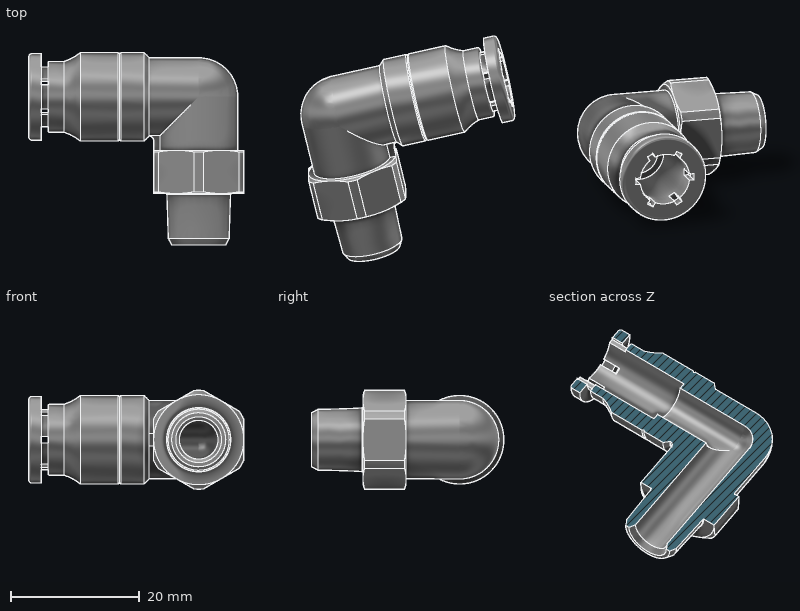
import cadquery as cq
import math


elbow_radius = 6.1
flow_radius = 3.0

port_face_x = -26.4
flange_length = 1.95
flange_radius = 13.5 / 2
flange_fillet = 0.5
neck_length = 1.05
neck_radius = 9.4 / 2
collar_length = 2.5
collar_radius = 11.04 / 2
collar_fillet = 0.25
flare_length = 2.55
flare_sag = 0.13
body_radius = 13.8 / 2
body_end_x = -8.5
body_chamfer = body_radius - elbow_radius
groove_x = -12.3
groove_width = 0.4
groove_depth = 0.2

socket_radius = 8.0 / 2
socket_end_x = groove_x
slot_count = 6
slot_width = 1.0
slot_length = flange_length + neck_length

thread_end_y = body_radius - 29.9
hex_flats = 14.0
hex_round_diameter = 15.39
hex_start_y = -8.3
hex_end_y = -15.0
hex_chamfer = 0.25
shoulder_radius = 5.0
shoulder_length = 0.15
thread_root_radius = 4.96
thread_taper = 1 / 16
thread_chamfer_length = 1.04
thread_tip_radius = 4.2
mouth_radius = 3.55
mouth_depth = 1.0

rib_width = 2.0
rib_fillet = 0.7

collar_start_x = port_face_x + flange_length + neck_length
flare_start_x = collar_start_x + collar_length
flare_end_x = flare_start_x + flare_length


def cylinder_x(radius, start_x, end_x):
    """Cylinder on the X axis running from start_x up to end_x."""
    return cq.Workplane("YZ").workplane(offset=start_x).circle(radius).extrude(end_x - start_x)


def cylinder_y(radius, start_y, end_y):
    """Cylinder on the Y axis running from start_y down to end_y."""
    return cq.Workplane("XZ").workplane(offset=-start_y).circle(radius).extrude(start_y - end_y)


def make_corner_ball(radius):
    """Quarter ball that rounds the outer corner, where X and Y are both positive."""
    return (
        cq.Workplane("YZ")
        .moveTo(0, -radius)
        .threePointArc((radius, 0), (0, radius))
        .close()
        .revolve(90, (0, 1, 0), (0, 0, 0))
    )


def make_bend(radius, arm_x_end, arm_y_end):
    """Two arms that meet in a mitre on the inside and in a quarter ball on the outside."""
    arm_x = cylinder_x(radius, arm_x_end, 0)
    arm_y = cylinder_y(radius, 0, arm_y_end)
    return arm_x.union(arm_y).union(make_corner_ball(radius))


def make_release_collar():
    """Flange pressed to release the tube, with the neck that joins it to the body."""
    flange = cylinder_x(flange_radius, port_face_x, port_face_x + flange_length)
    flange = flange.faces("<X").edges().fillet(flange_fillet)
    neck = cylinder_x(neck_radius, port_face_x + flange_length, flare_start_x)
    return flange.union(neck)


def make_port_body():
    """Turned body of the tube port: front collar, concave flare, groove and rear chamfer."""
    rise = body_radius - collar_radius
    chord = math.hypot(flare_length, rise)
    flare_middle = (
        flare_start_x + flare_length / 2 + flare_sag * rise / chord,
        (collar_radius + body_radius) / 2 - flare_sag * flare_length / chord,
    )
    half_groove = groove_width / 2
    body = (
        cq.Workplane("XY")
        .moveTo(collar_start_x, 0)
        .lineTo(collar_start_x, collar_radius)
        .lineTo(flare_start_x, collar_radius)
        .threePointArc(flare_middle, (flare_end_x, body_radius))
        .lineTo(groove_x - half_groove, body_radius)
        .lineTo(groove_x, body_radius - groove_depth)
        .lineTo(groove_x + half_groove, body_radius)
        .lineTo(body_end_x, body_radius)
        .lineTo(body_end_x + body_chamfer, elbow_radius)
        .lineTo(body_end_x + body_chamfer, 0)
        .close()
        .revolve(360, (0, 0, 0), (1, 0, 0))
    )
    return body.faces("<X").edges().fillet(collar_fillet)


def make_hex():
    """Hexagon with flats facing +X and -X, its corners turned and chamfered at both ends."""
    height = hex_start_y - hex_end_y
    corner_diameter = hex_flats / math.cos(math.radians(30))
    prism = (
        cq.Workplane("XZ", origin=(0, hex_start_y, 0))
        .transformed(rotate=(0, 0, 30))
        .polygon(6, corner_diameter)
        .extrude(height)
    )
    turned = cylinder_y(hex_round_diameter / 2, hex_start_y, hex_end_y)
    radial_chamfer = (hex_round_diameter - hex_flats) / 2
    turned = turned.faces("<Y").chamfer(hex_chamfer, radial_chamfer)
    turned = turned.faces(">Y").chamfer(hex_chamfer, radial_chamfer)
    return prism.intersect(turned)


def make_thread():
    """Tapered thread envelope with a thin shoulder against the hexagon and a chamfered tip."""
    shoulder_y = hex_end_y - shoulder_length
    chamfer_y = thread_end_y + thread_chamfer_length
    small_radius = thread_root_radius - thread_taper / 2 * (shoulder_y - chamfer_y)
    return (
        cq.Workplane("XY")
        .moveTo(0, hex_end_y)
        .lineTo(shoulder_radius, hex_end_y)
        .lineTo(shoulder_radius, shoulder_y)
        .lineTo(thread_root_radius, shoulder_y)
        .lineTo(small_radius, chamfer_y)
        .lineTo(thread_tip_radius, thread_end_y)
        .lineTo(0, thread_end_y)
        .close()
        .revolve(360, (0, 0, 0), (0, 1, 0))
    )


def make_rib():
    """Web beside the threaded arm, filleted into the underside of the tube arm."""
    rib_x = -hex_flats / 2
    return (
        cq.Workplane("XY")
        .moveTo(0, 0)
        .lineTo(rib_x - rib_fillet, 0)
        .lineTo(rib_x - rib_fillet, -elbow_radius)
        .radiusArc((rib_x, -elbow_radius - rib_fillet), rib_fillet)
        .lineTo(rib_x, hex_start_y)
        .lineTo(0, hex_start_y)
        .close()
        .extrude(rib_width / 2, both=True)
    )


def make_flow_passage():
    """Bore through both arms, with the tube socket and the coned mouth of the threaded end."""
    bend = make_bend(flow_radius, socket_end_x, thread_end_y)
    socket = cylinder_x(socket_radius, port_face_x, socket_end_x)
    mouth = (
        cq.Workplane("XY")
        .moveTo(0, thread_end_y)
        .lineTo(mouth_radius, thread_end_y)
        .lineTo(flow_radius, thread_end_y + mouth_depth)
        .lineTo(0, thread_end_y + mouth_depth)
        .close()
        .revolve(360, (0, 0, 0), (0, 1, 0))
    )
    return bend.union(socket).union(mouth)


def make_slots():
    """Radial slots, the first pointing along +Y, that end on the neck's outer radius."""
    slots = cq.Workplane("XY")
    for index in range(slot_count):
        slot = (
            cq.Workplane("XY")
            .box(slot_length, neck_radius, slot_width, centered=(False, False, True))
            .translate((port_face_x, 0, 0))
            .rotate((0, 0, 0), (1, 0, 0), index * 360 / slot_count)
        )
        slots = slots.union(slot)
    return slots


outside = make_bend(elbow_radius, body_end_x, hex_start_y)
for piece in (make_port_body(), make_release_collar(), make_hex(), make_thread(), make_rib()):
    outside = outside.union(piece)

result = outside.cut(make_flow_passage()).cut(make_slots())